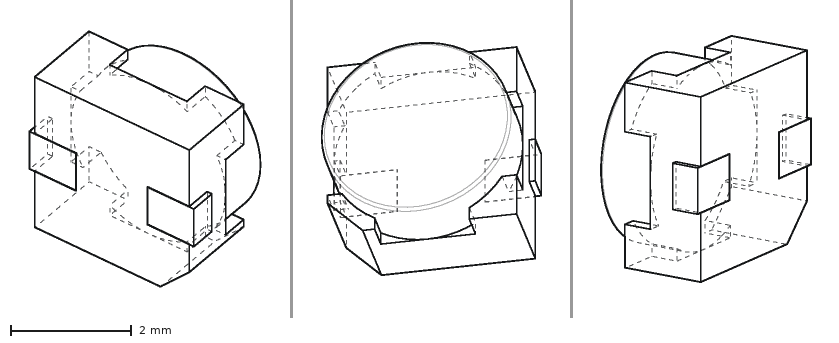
import cadquery as cq

total_width = 3.4
housing_side = 3.2
housing_depth = 1.5
rotor_protrusion = 0.5
rotor_edge_radius = 0.05
corner_chamfer = 0.6

notch_width = housing_side / 2
notch_depth = 0.5
side_notch_drop = 0.05

terminal_length = 0.96
terminal_height = 0.8
terminal_depth = 0.5
terminal_standoff = 0.01

half_side = housing_side / 2
rotor_back = housing_depth + rotor_protrusion
notch_floor = housing_depth - notch_depth


def block(width, depth, height, x, y_front):
    """Box centred on Z, with its front face at y_front."""
    return cq.Workplane("XY").box(width, depth, height).translate((x, y_front + depth / 2, 0))


def make_housing():
    """Square housing with one chamfered corner and a notch in each side."""
    housing = block(housing_side, housing_depth, housing_side, 0, 0)
    housing = housing.edges(">X and <Z").chamfer(corner_chamfer)
    top_bottom_slot = block(notch_width, notch_depth, housing_side, 0, notch_floor)
    side_slot = block(housing_side, notch_depth, notch_width, 0, notch_floor)
    side_slot = side_slot.translate((0, 0, -side_notch_drop))
    return housing.cut(top_bottom_slot).cut(side_slot)


def make_rotor():
    """Disc standing on the notch floors, rounded at its back rim."""
    rotor = (
        cq.Workplane("XZ", origin=(0, notch_floor, 0))
        .circle(half_side)
        .extrude(notch_floor - rotor_back)
    )
    return rotor.faces(">Y").edges().fillet(rotor_edge_radius)


def make_terminal(side):
    """Terminal block on the left (side = -1) or right (side = 1)."""
    x_centre = side * (total_width - terminal_length) / 2
    return block(terminal_length, terminal_depth, terminal_height, x_centre, -terminal_standoff)


result = make_housing().union(make_rotor())
for side in (-1, 1):
    result = result.union(make_terminal(side))